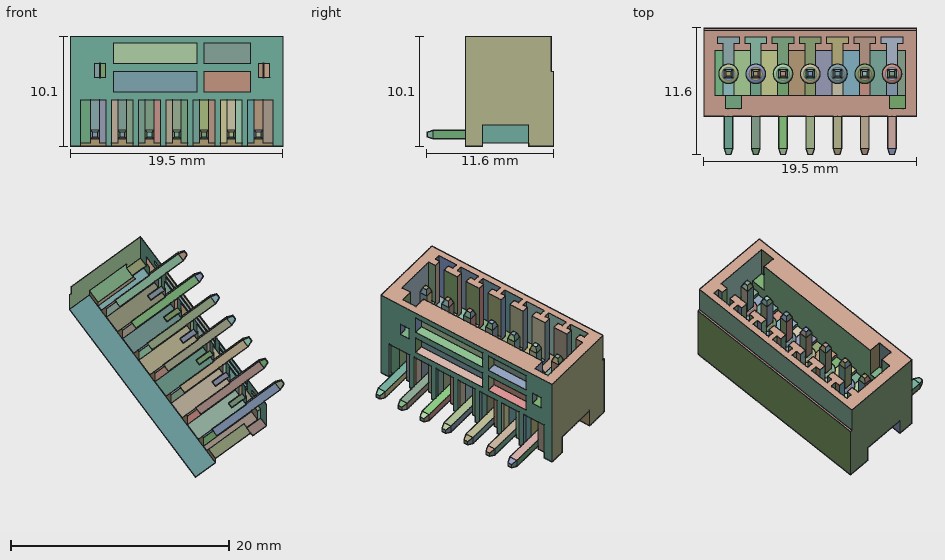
import cadquery as cq


PIN_COUNT = 7
ROW_SPAN = 15.0
PITCH = ROW_SPAN / (PIN_COUNT - 1)
PIN_XS = [i * PITCH - ROW_SPAN / 2 for i in range(PIN_COUNT)]

LENGTH = 19.5
DEPTH = 8.1
HEIGHT = 10.1
REAR_STEP_DEPTH = 0.2
REAR_STEP_Z = 6.88

PIN_WIDTH = 0.8
PIN_Y = 3.9
PIN_Z = 1.1
PIN_REACH = 3.51
PIN_TOP = 9.28
TIP_LENGTH = 0.57
TIP_WIDTH = 0.43

CAVITY_FRONT = 1.91
CAVITY_BACK = 6.05
CAVITY_END_WALL = 1.0
CAVITY_LENGTH = LENGTH - 2 * CAVITY_END_WALL
CAVITY_FLOOR = 5.26

SLOT_FLOOR = 4.88
STEM_WIDTH = 1.0
HEAD_WIDTH = 1.99
HEAD_REAR_WALL = 0.82
HEAD_BACK = DEPTH - HEAD_REAR_WALL
HEAD_DEPTH = 0.57

COLLAR_DIAMETER = 1.8
COLLAR_ROUND = 0.3
COLLAR_TOP = CAVITY_FLOOR + COLLAR_ROUND

LATCH_XS = [-7.04, 8.01]
NOTCH_WIDTH = 1.48
NOTCH_FRONT = 0.72
WINDOW_WIDTH = 1.0
WINDOW_BOTTOM = 6.32
WINDOW_HEIGHT = 1.3

PANEL_SPANS = [(-5.8, 1.83), (2.48, 6.79)]
PANEL_BOTTOMS = [5.01, 7.62]
PANEL_HEIGHT = 1.85
PANEL_DEPTH = 0.9

FRONT_FOOT_DEPTH = 1.58
REAR_FOOT_Y = 5.81
STANDOFF = 0.31
END_RECESS_LENGTH = 1.35
END_RECESS_HEIGHT = 1.99

POCKET_WIDTH = 1.99
POCKET_DEPTH = 0.35
END_WALL = 0.92
POCKET_HEIGHT = 4.27


def block(x_range, y_range, z_range):
    """Box between the given limits along each axis."""
    (x0, x1), (y0, y1), (z0, z1) = x_range, y_range, z_range
    return cq.Workplane("XY").box(x1 - x0, y1 - y0, z1 - z0, centered=False).translate((x0, y0, z0))


def around(center, width):
    """Limits of a width centered on a position."""
    return (center - width / 2, center + width / 2)


def housing_block():
    body = block(around(0, LENGTH), (0, DEPTH), (0, HEIGHT))
    rear_step = block(around(0, LENGTH), (DEPTH - REAR_STEP_DEPTH, DEPTH), (REAR_STEP_Z, HEIGHT))
    return body.cut(rear_step)


def cut_cavity(body):
    body = body.cut(block(around(0, CAVITY_LENGTH), (CAVITY_FRONT, CAVITY_BACK), (CAVITY_FLOOR, HEIGHT)))
    for x in PIN_XS:
        stem = block(around(x, STEM_WIDTH), (CAVITY_FRONT, HEAD_BACK), (SLOT_FLOOR, HEIGHT))
        head = block(around(x, HEAD_WIDTH), (HEAD_BACK - HEAD_DEPTH, HEAD_BACK), (SLOT_FLOOR, HEIGHT))
        body = body.cut(stem).cut(head)
    return body


def cut_latches(body):
    for x in LATCH_XS:
        notch = block(around(x, NOTCH_WIDTH), (NOTCH_FRONT, CAVITY_FRONT), (WINDOW_BOTTOM, HEIGHT))
        window_z = (WINDOW_BOTTOM, WINDOW_BOTTOM + WINDOW_HEIGHT)
        window = block(around(x, WINDOW_WIDTH), (0, NOTCH_FRONT), window_z)
        body = body.cut(notch).cut(window)
    return body


def cut_panels(body):
    for span in PANEL_SPANS:
        for bottom in PANEL_BOTTOMS:
            body = body.cut(block(span, (0, PANEL_DEPTH), (bottom, bottom + PANEL_HEIGHT)))
    return body


def cut_underside(body):
    middle = (FRONT_FOOT_DEPTH, REAR_FOOT_Y)
    body = body.cut(block(around(0, LENGTH), middle, (0, STANDOFF)))
    inner_end = LENGTH / 2 - END_RECESS_LENGTH
    for x_range in [(-LENGTH / 2, -inner_end), (inner_end, LENGTH / 2)]:
        body = body.cut(block(x_range, middle, (0, END_RECESS_HEIGHT)))
    return body


def cut_pockets(body):
    inner_end = LENGTH / 2 - END_WALL
    for x in PIN_XS:
        left, right = around(x, POCKET_WIDTH)
        if x == PIN_XS[0]:
            left = -inner_end
        if x == PIN_XS[-1]:
            right = inner_end
        pocket = block((left, right), (0, POCKET_DEPTH), (0, POCKET_HEIGHT))
        foot_gap = block((left, right), (0, FRONT_FOOT_DEPTH), (0, STANDOFF))
        wire_slot = block(around(x, PIN_WIDTH), (0, REAR_FOOT_Y), (0, POCKET_HEIGHT))
        body = body.cut(pocket).cut(foot_gap).cut(wire_slot)
    return body


def add_collars(body):
    for x in PIN_XS:
        collar = (
            cq.Workplane("XY", origin=(x, PIN_Y, SLOT_FLOOR))
            .circle(COLLAR_DIAMETER / 2)
            .extrude(COLLAR_TOP - SLOT_FLOOR)
            .faces(">Z")
            .edges()
            .fillet(COLLAR_ROUND)
        )
        pin_hole = block(around(x, PIN_WIDTH), around(PIN_Y, PIN_WIDTH), (POCKET_HEIGHT, COLLAR_TOP))
        body = body.union(collar).cut(pin_hole)
    return body


def make_housing():
    body = housing_block()
    body = cut_cavity(body)
    body = cut_latches(body)
    body = cut_panels(body)
    body = cut_underside(body)
    body = cut_pockets(body)
    return add_collars(body)


def wire_leg(plane, origin, length):
    """Square wire from the origin along the plane's normal, tapering at its end."""
    shank_length = length - TIP_LENGTH
    shank = cq.Workplane(plane, origin=origin).rect(PIN_WIDTH, PIN_WIDTH).extrude(shank_length)
    tip = (
        cq.Workplane(plane, origin=origin)
        .workplane(offset=shank_length)
        .rect(PIN_WIDTH, PIN_WIDTH)
        .workplane(offset=TIP_LENGTH)
        .rect(TIP_WIDTH, TIP_WIDTH)
        .loft(combine=True)
    )
    return shank.union(tip)


def make_pin(x):
    bend_bottom = PIN_Z - PIN_WIDTH / 2
    bend_back = PIN_Y + PIN_WIDTH / 2
    contact_leg = wire_leg("XY", (x, PIN_Y, bend_bottom), PIN_TOP - bend_bottom)
    board_leg = wire_leg("XZ", (x, bend_back, PIN_Z), bend_back + PIN_REACH)
    return contact_leg.union(board_leg)


housing = make_housing()
pins = [make_pin(x) for x in PIN_XS]

result = cq.Compound.makeCompound([housing.solids().val(), *[pin.solids().val() for pin in pins]])